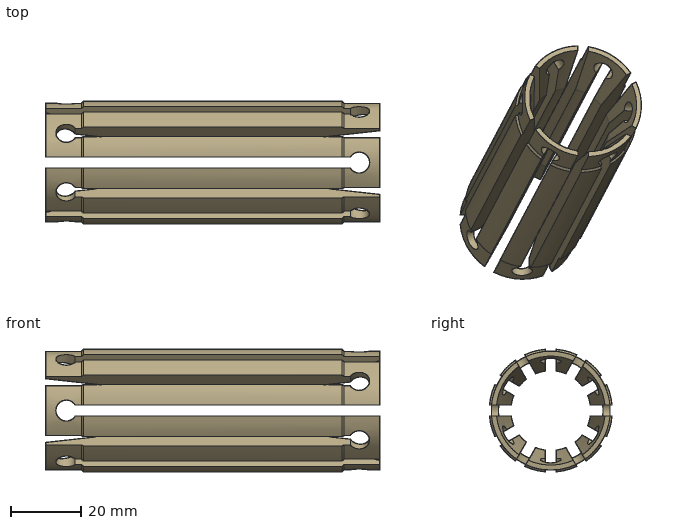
import cadquery as cq

length = 95.5
half_length = length / 2
body_radius = 35.2 / 2

collar_radius = 17.0
collar_length = 10.2
shoulder = body_radius - collar_radius

bore_radius = 11.4
mouth_radius = 15.6
mouth_depth = 19.1

slot_count = 12
slot_width = 3.1
relief_radius = 3.0
relief_from_end = 5.9
slot_pitch = 360 / slot_count


def sleeve():
    """Revolved ring section, with its mirror-symmetric outline given as (x, radius)."""
    collar_x = half_length - collar_length
    body_x = collar_x - shoulder
    mouth_x = half_length - mouth_depth
    outline = [
        (-half_length, mouth_radius),
        (-half_length, collar_radius),
        (-collar_x, collar_radius),
        (-body_x, body_radius),
        (body_x, body_radius),
        (collar_x, collar_radius),
        (half_length, collar_radius),
        (half_length, mouth_radius),
        (mouth_x, bore_radius),
        (-mouth_x, bore_radius),
    ]
    section = cq.Workplane("XY").polyline(outline).close()
    return section.revolve(360, (0, 0, 0), (1, 0, 0))


def slot_cutter(open_side):
    """Slot through the +Z wall; open_side is +1 or -1 for the end it runs out of."""
    relief_x = -open_side * (half_length - relief_from_end)
    slot_length = length - relief_from_end
    slot_x = relief_x + open_side * slot_length / 2
    plane = cq.Workplane("XY")
    slot = plane.center(slot_x, 0).rect(slot_length, slot_width).extrude(body_radius)
    relief = plane.center(relief_x, 0).circle(relief_radius).extrude(body_radius)
    return slot.union(relief)


result = sleeve()
for index in range(slot_count):
    open_side = -1 if index % 2 == 0 else 1
    cutter = slot_cutter(open_side).rotate((0, 0, 0), (1, 0, 0), index * slot_pitch)
    result = result.cut(cutter)